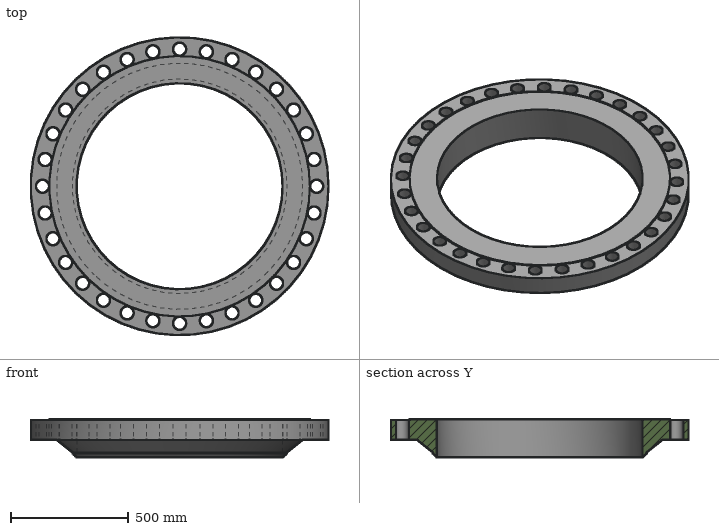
import cadquery as cq

total_height = 164.0
raised_face_height = 4.0
rim_thickness = 85.0
bevel_height = 18.0
neck_height = 4.0

rim_diameter = 1270.0
raised_face_diameter = 1110.0
hub_diameter = 1049.0
neck_diameter = 915.0
weld_end_diameter = 879.0
bore_diameter = 876.0

bolt_count = 32
bolt_circle_diameter = 1168.0
bolt_hole_diameter = 55.0

rim_top = total_height - raised_face_height
rim_bottom = rim_top - rim_thickness
neck_top = bevel_height + neck_height


def flange_body():
    """Revolve the half section of rim, raised face, tapered hub and bevelled neck about Z."""
    section = [
        (bore_diameter / 2, 0),
        (weld_end_diameter / 2, 0),
        (neck_diameter / 2, bevel_height),
        (neck_diameter / 2, neck_top),
        (hub_diameter / 2, rim_bottom),
        (rim_diameter / 2, rim_bottom),
        (rim_diameter / 2, rim_top),
        (raised_face_diameter / 2, rim_top),
        (raised_face_diameter / 2, total_height),
        (bore_diameter / 2, total_height),
    ]
    return cq.Workplane("XZ").polyline(section).close().revolve(360, (0, 0, 0), (0, 1, 0))


def bolt_holes():
    """Cylinders on the bolt circle that pass through the rim."""
    return (
        cq.Workplane("XY")
        .polarArray(bolt_circle_diameter / 2, 0, 360, bolt_count)
        .circle(bolt_hole_diameter / 2)
        .extrude(total_height)
    )


result = flange_body().cut(bolt_holes())